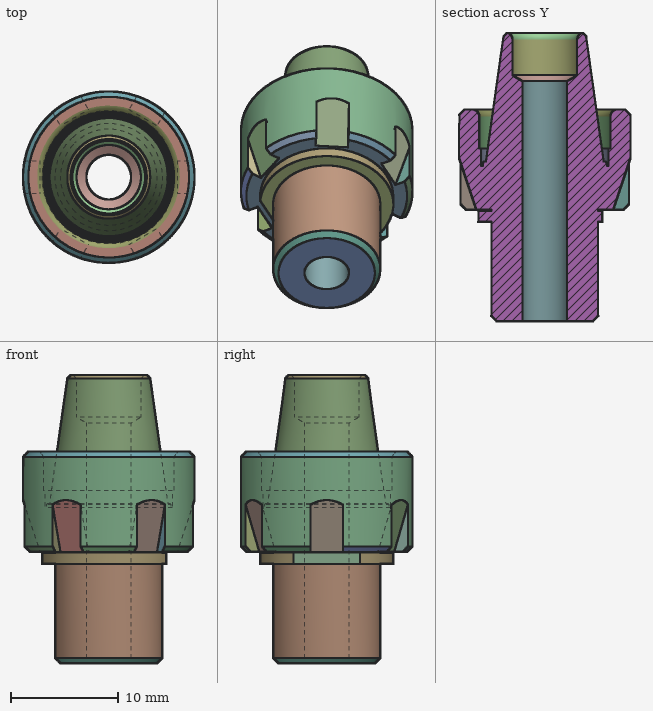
import cadquery as cq
import math

total_height = 26.9
flange_bottom = 9.28
flange_thickness = 1.05
nut_bottom = 10.4
nut_height = 9.35
nut_top = nut_bottom + nut_height

shank_radius = 10.0 / 2
shank_chamfer = 0.5
flange_radius = 12.43 / 2
flange_flat_x = 5.38

nut_radius = 16.0 / 2
nut_chamfer = 0.5
recess_radius = 12.19 / 2
recess_lower_radius = 11.85 / 2
recess_ledge = 16.15
recess_floor = 14.53
recess_rim_radius = 13.3 / 2

lip_radius = 0.73

nose_tip_radius = 3.55
nose_chamfer = 0.32
nose_taper = math.radians(8)
collar_radius = 5.8
collar_chamfer = 0.13
collar_top = recess_floor + 0.4

bore_radius = 4.15 / 2
mouth_radius = 6.0 / 2
mouth_depth = 3.95
mouth_rim_radius = 3.4
funnel_slope = math.radians(30)

slot_count = 6
slot_width = 3.0
slot_top = 15.23
slot_lean = math.radians(18.5)


def disc(radius, bottom, top):
    return cq.Workplane("XY").workplane(offset=bottom).circle(radius).extrude(top - bottom)


def flared_hole(radius, rim_radius, bottom, top):
    """Round cavity with a lip arc that leaves the wall tangentially and ends at the rim."""

    def lip_point(angle):
        return (
            radius + lip_radius * (1 - math.cos(angle)),
            lip_bottom + lip_radius * math.sin(angle),
        )

    lip_angle = math.acos(1 - (rim_radius - radius) / lip_radius)
    lip_bottom = top - lip_radius * math.sin(lip_angle)
    return (
        cq.Workplane("XZ")
        .moveTo(0, bottom)
        .lineTo(radius, bottom)
        .lineTo(radius, lip_bottom)
        .threePointArc(lip_point(lip_angle / 2), (rim_radius, top))
        .lineTo(0, top)
        .close()
        .revolve(360, (0, 0, 0), (0, 1, 0))
    )


def make_shank():
    shank = disc(shank_radius, 0, recess_floor)
    return shank.faces("<Z").chamfer(shank_chamfer)


def make_flange():
    """Thin disc with one flat on the +X side."""
    flange = disc(flange_radius, flange_bottom, flange_bottom + flange_thickness)
    waste = cq.Workplane("XY").box(
        flange_radius, 2 * flange_radius, total_height, centered=(False, True, False)
    )
    return flange.cut(waste.translate((flange_flat_x, 0, 0)))


def make_slot_cutter():
    """Wedge on the +X side whose sloping floor runs out of the nut wall at slot_top."""
    slot_depth = (slot_top - nut_bottom) * math.tan(slot_lean)
    return (
        cq.Workplane("XZ")
        .moveTo(nut_radius, slot_top)
        .lineTo(nut_radius - slot_depth, nut_bottom)
        .lineTo(nut_radius, nut_bottom)
        .close()
        .extrude(slot_width / 2, both=True)
    )


def make_nut():
    nut = disc(nut_radius, nut_bottom, nut_top).faces("<Z or >Z").edges().chamfer(nut_chamfer)
    nut = nut.cut(flared_hole(recess_radius, recess_rim_radius, recess_ledge, nut_top))
    nut = nut.cut(disc(recess_lower_radius, recess_floor, recess_ledge))
    for index in range(slot_count):
        angle = index * 360 / slot_count
        nut = nut.cut(make_slot_cutter().rotate((0, 0, 0), (0, 0, 1), angle))
    return nut


def make_nose():
    """Turned cone with a chamfered tip and a chamfered collar at its base."""
    taper_top = total_height - nose_chamfer
    taper_top_radius = nose_tip_radius + nose_chamfer
    taper_base_radius = taper_top_radius + (taper_top - collar_top) * math.tan(nose_taper)
    return (
        cq.Workplane("XZ")
        .moveTo(0, recess_floor)
        .lineTo(collar_radius, recess_floor)
        .lineTo(collar_radius, collar_top - collar_chamfer)
        .lineTo(collar_radius - collar_chamfer, collar_top)
        .lineTo(taper_base_radius, collar_top)
        .lineTo(taper_top_radius, taper_top)
        .lineTo(nose_tip_radius, total_height)
        .lineTo(0, total_height)
        .close()
        .revolve(360, (0, 0, 0), (0, 1, 0))
    )


def make_bore():
    """Through hole that opens through a conical funnel into a flared mouth."""
    mouth_bottom = total_height - mouth_depth
    funnel_bottom = mouth_bottom - (mouth_radius - bore_radius) * math.tan(funnel_slope)
    hole_and_funnel = (
        cq.Workplane("XZ")
        .lineTo(bore_radius, 0)
        .lineTo(bore_radius, funnel_bottom)
        .lineTo(mouth_radius, mouth_bottom)
        .lineTo(0, mouth_bottom)
        .close()
        .revolve(360, (0, 0, 0), (0, 1, 0))
    )
    return hole_and_funnel.union(flared_hole(mouth_radius, mouth_rim_radius, mouth_bottom, total_height))


body = make_shank().union(make_flange()).union(make_nut()).union(make_nose())
result = body.cut(make_bore())